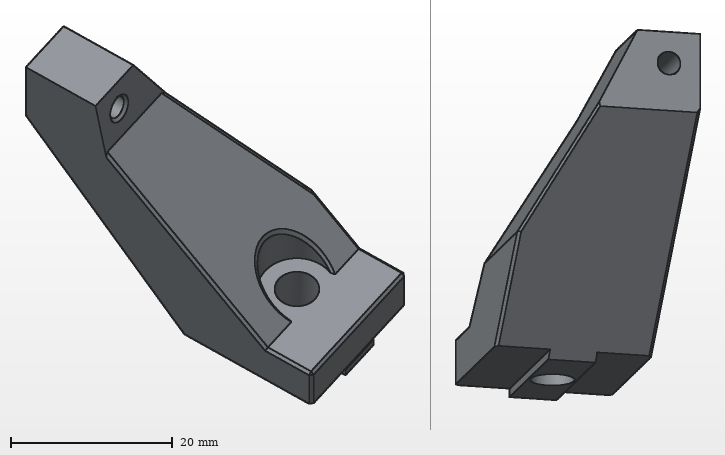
import cadquery as cq

LENGTH = 43.6
WIDTH = 20.0
HEIGHT = 36.25

TONGUE_HEIGHT = 1.05
TONGUE_OVERHANG = 0.15
BODY_LENGTH = LENGTH - TONGUE_OVERHANG
UNDERSIDE_START_X = 24.55
UNDERSIDE_TOP_Z = 26.15
HEAD_LENGTH = 10.6
WAIST_X = 12.1
WAIST_Z = 27.9
FOOT_X = 36.55
FOOT_Z = 7.05

HEAD_WIDTH = 8.02
SLANT_BOTTOM_Z = 12.9

CENTER_Y = WIDTH / 2
TONGUE_WIDTH = 6.0
BOLT_X = 34.05
BOLT_DIAMETER = 5.5
POCKET_DIAMETER = 9.75

HEAD_HOLE_DIAMETER = 2.9
HEAD_HOLE_Y = HEAD_WIDTH / 2
HEAD_HOLE_Z = HEIGHT - HEAD_HOLE_Y

CHAMFER = 0.4
SELECT_MARGIN = 0.02


def arm_blank():
    """Side profile extruded across the full width, including the tongue depth."""
    return (
        cq.Workplane("XZ")
        .moveTo(UNDERSIDE_START_X, 0)
        .lineTo(LENGTH, 0)
        .lineTo(LENGTH, TONGUE_HEIGHT)
        .lineTo(BODY_LENGTH, TONGUE_HEIGHT)
        .lineTo(BODY_LENGTH, FOOT_Z)
        .lineTo(FOOT_X, FOOT_Z)
        .lineTo(WAIST_X, WAIST_Z)
        .lineTo(HEAD_LENGTH, HEIGHT)
        .lineTo(0, HEIGHT)
        .lineTo(0, UNDERSIDE_TOP_Z)
        .close()
        .extrude(-WIDTH)
    )


def cross_section(bottom_z):
    """End outline of the body above bottom_z, with the slanted back side."""
    return (
        cq.Workplane("YZ")
        .moveTo(0, bottom_z)
        .lineTo(WIDTH, bottom_z)
        .lineTo(WIDTH, SLANT_BOTTOM_Z)
        .lineTo(HEAD_WIDTH, HEIGHT)
        .lineTo(0, HEIGHT)
        .close()
        .extrude(LENGTH)
    )


def bolt_pocket():
    """Round clearance for the bolt head, down to the level of the foot."""
    return (
        cq.Workplane("XY", origin=(BOLT_X, CENTER_Y, FOOT_Z))
        .circle(POCKET_DIAMETER / 2)
        .extrude(HEIGHT)
    )


def is_pocket_rim(edge):
    """True for the curved edge where the pocket meets the sloped top."""
    return edge.geomType() not in ("LINE", "CIRCLE")


def is_chamfered_edge(edge):
    """True for the straight outer edges of the arm that carry a chamfer."""
    start = edge.startPoint()
    end = edge.endPoint()
    middle = edge.Center()
    spans_x = abs(end.x - start.x) > SELECT_MARGIN
    spans_z = abs(end.z - start.z) > SELECT_MARGIN
    on_side = max(start.y, end.y) < SELECT_MARGIN or min(start.y, end.y) > HEAD_WIDTH
    on_foot_end = min(start.x, end.x) > BODY_LENGTH - SELECT_MARGIN
    on_foot_top = min(start.z, end.z) > FOOT_Z - SELECT_MARGIN

    slope_fraction = (middle.x - WAIST_X) / (FOOT_X - WAIST_X)
    slope_z = WAIST_Z + slope_fraction * (FOOT_Z - WAIST_Z)
    on_top_slope = start.x > 0 and end.x > 0 and abs(middle.z - slope_z) < SELECT_MARGIN
    underside_z = UNDERSIDE_TOP_Z * (1 - middle.x / UNDERSIDE_START_X)
    on_underside = abs(middle.z - underside_z) < SELECT_MARGIN

    foot_side = spans_x and on_side and abs(middle.z - FOOT_Z) < SELECT_MARGIN
    sloped_side = spans_x and spans_z and on_side and (on_top_slope or on_underside)
    foot_end = on_foot_end and (spans_z or on_foot_top)
    return foot_side or sloped_side or foot_end


def is_head_hole_exit(edge):
    """True for the rim of the head hole on the tilted face behind the head."""
    middle = edge.Center()
    return edge.geomType() == "ELLIPSE" and middle.z > WAIST_Z


def chamfer_edges(shape, wanted):
    edges = [edge for edge in shape.edges().vals() if wanted(edge)]
    return shape.newObject(edges).chamfer(CHAMFER)


body = arm_blank().intersect(cross_section(TONGUE_HEIGHT))
body = chamfer_edges(body, is_chamfered_edge)
body = body.cut(bolt_pocket())
body = chamfer_edges(body, is_pocket_rim)

tongue_limits = cq.Workplane("XY").box(
    LENGTH, TONGUE_WIDTH, TONGUE_HEIGHT, centered=(False, True, False)
).translate((0, CENTER_Y, 0))
tongue = arm_blank().intersect(tongue_limits)

bolt_hole = cq.Workplane("XY", origin=(BOLT_X, CENTER_Y, 0)).circle(BOLT_DIAMETER / 2).extrude(HEIGHT)
head_hole = (
    cq.Workplane("YZ", origin=(0, HEAD_HOLE_Y, HEAD_HOLE_Z))
    .circle(HEAD_HOLE_DIAMETER / 2)
    .extrude(LENGTH)
)

body = chamfer_edges(body.cut(head_hole), is_head_hole_exit)

result = body.union(tongue).cut(bolt_hole)